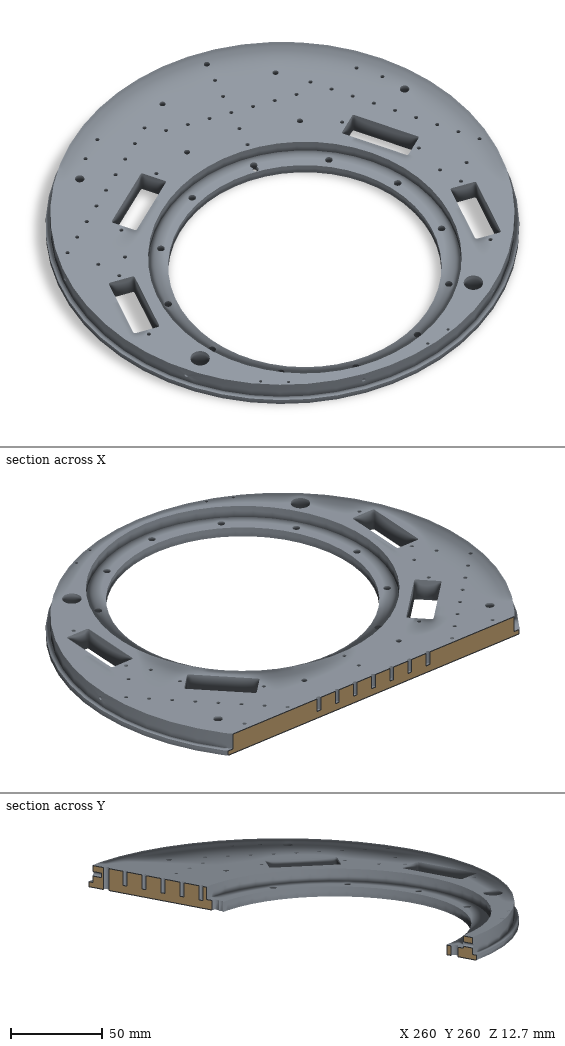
import cadquery as cq
import math

flange_diameter = 260.0
body_diameter = 254.8
total_height = 12.7
flange_height = 3.0

bore_x = 35.0
bore_diameter = 150.0
recess_diameter = 172.0
recess_depth = 7.0
ring_bolt_radius = 80.0
ring_bolt_diameter = 4.2
ring_bolt_count = 12

window_radius = 100.0
window_length = 40.0
window_width = 15.0
window_corner_radius = 1.0
window_screw_spacing = 46.3
window_angles = (90, 135, 225, 270)

screw_diameter = 2.25
screw_pair_spacing = 15.5
radial_pair_radius = 100.0
tangential_pair_radius = 115.2
tangential_pair_angle = 135
dowel_diameter = 5.2
dowel_radius = 114.1
dowel_angle = 123.5
cable_hole_diameter = 10.7
cable_hole_x = 85.0
cable_hole_y = 80.0
edge_hole_diameter = 1.77
edge_hole_radius = 125.3
edge_hole_angles = (19, 26)

mount_x = -80.0
mount_radius = 38.2
mount_hole_diameter = 3.5
mount_hole_count = 6

grid_pitch = 12.7
grid_hole_diameter = 2.25
grid_hole_depth = 8.0
row_half_count = 2
column_half_count = 3
diagonal_start_x = -86.0
diagonal_start_y = 48.5
diagonal_count = 9

rim_hole_diameter = 2.25
rim_hole_depth = 6.0
rim_hole_count = 8


def polar(radius, angle):
    """X and Y at an angle in degrees, measured from +X."""
    a = math.radians(angle)
    return radius * math.cos(a), radius * math.sin(a)


def mirrored(points):
    """The points together with their mirror images across the X axis."""
    return points + [(x, -y) for x, y in points]


def ring(center_x, radius, count):
    """Points evenly spaced on a circle centred on the X axis, the first one on +X."""
    offsets = [polar(radius, i * 360 / count) for i in range(count)]
    return [(center_x + x, y) for x, y in offsets]


def pins(points, diameter, depth=total_height):
    """Vertical cylinders reaching down from the top face."""
    bottom = cq.Workplane("XY").workplane(offset=total_height - depth)
    return bottom.pushPoints(points).circle(diameter / 2).extrude(depth)


def make_plate():
    plate = cq.Workplane("XY").circle(flange_diameter / 2).extrude(flange_height)
    body = cq.Workplane("XY").circle(body_diameter / 2).extrude(total_height)
    return plate.union(body)


def cut_bore(plate):
    plate = plate.cut(pins([(bore_x, 0)], bore_diameter))
    plate = plate.cut(pins([(bore_x, 0)], recess_diameter, recess_depth))
    return plate.cut(pins(ring(bore_x, ring_bolt_radius, ring_bolt_count), ring_bolt_diameter))


def cut_windows(plate):
    window = (
        cq.Workplane("XY")
        .rect(window_length, window_width)
        .extrude(total_height)
        .edges("|Z")
        .fillet(window_corner_radius)
    )
    half_spacing = window_screw_spacing / 2
    screws = pins([(-half_spacing, 0), (half_spacing, 0)], screw_diameter)
    cutter = window.union(screws).translate((0, window_radius, 0))
    for angle in window_angles:
        turned = cutter.rotate((0, 0, 0), (0, 0, 1), angle - 90)
        plate = plate.cut(turned.translate((bore_x, 0, 0)))
    return plate


def screw_pairs():
    half_spacing = screw_pair_spacing / 2
    points = [(0, radial_pair_radius + side * half_spacing) for side in (-1, 1)]
    center_x, center_y = polar(tangential_pair_radius, tangential_pair_angle)
    along_x, along_y = polar(half_spacing, tangential_pair_angle - 90)
    points += [(center_x + side * along_x, center_y + side * along_y) for side in (-1, 1)]
    return mirrored(points)


def cut_through_holes(plate):
    plate = plate.cut(pins(screw_pairs(), screw_diameter))
    plate = plate.cut(pins(mirrored([polar(dowel_radius, dowel_angle)]), dowel_diameter))
    plate = plate.cut(pins(mirrored([(cable_hole_x, cable_hole_y)]), cable_hole_diameter))
    edge_points = [polar(edge_hole_radius, angle) for angle in edge_hole_angles]
    plate = plate.cut(pins(mirrored(edge_points), edge_hole_diameter))
    return plate.cut(pins(ring(mount_x, mount_radius, mount_hole_count), mount_hole_diameter))


def grid_points():
    """A cross centred on the mounting ring, and two diagonal rows at 45 degrees."""
    row = range(-row_half_count, row_half_count + 1)
    points = [(mount_x + i * grid_pitch, 0) for i in row]
    column = [(mount_x, i * grid_pitch) for i in range(1, column_half_count + 1)]
    step = grid_pitch / math.sqrt(2)
    diagonal = [
        (diagonal_start_x + i * step, diagonal_start_y + i * step)
        for i in range(diagonal_count)
    ]
    return points + mirrored(column + diagonal)


def cut_rim_holes(plate):
    height = (flange_height + total_height) / 2
    drill = (
        cq.Workplane("YZ", origin=(body_diameter / 2 - rim_hole_depth, 0, height))
        .circle(rim_hole_diameter / 2)
        .extrude(2 * rim_hole_depth)
    )
    for i in range(rim_hole_count):
        plate = plate.cut(drill.rotate((0, 0, 0), (0, 0, 1), i * 360 / rim_hole_count))
    return plate


plate = make_plate()
plate = cut_bore(plate)
plate = cut_windows(plate)
plate = cut_through_holes(plate)
plate = plate.cut(pins(grid_points(), grid_hole_diameter, grid_hole_depth))
result = cut_rim_holes(plate)